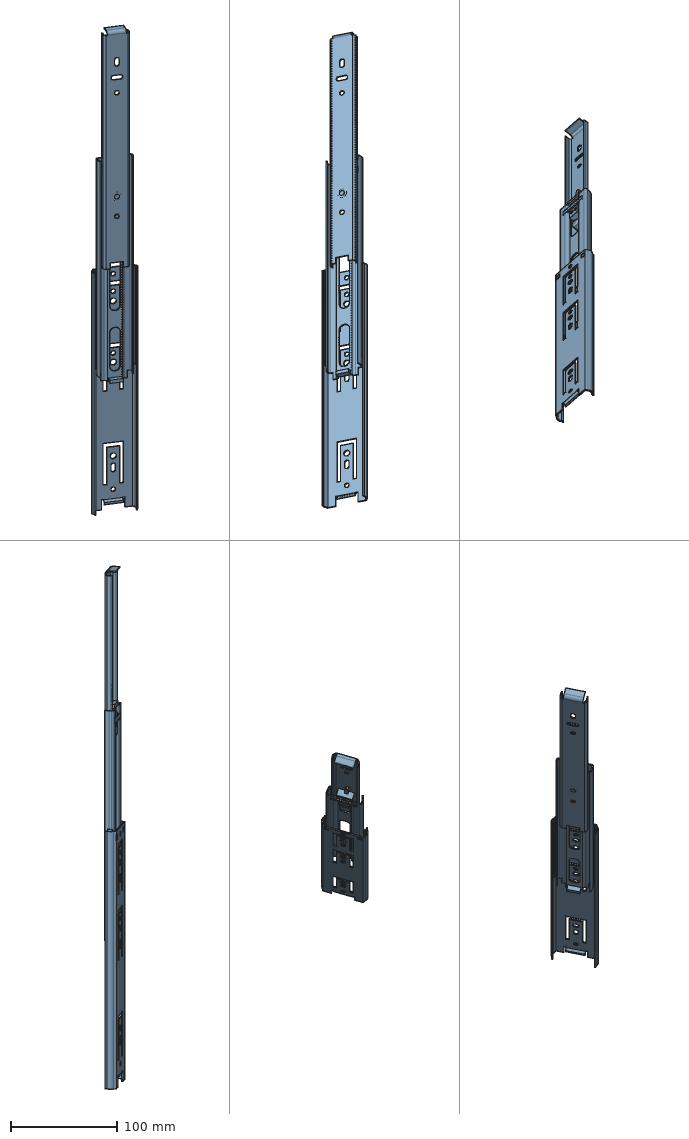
import cadquery as cq

SHEET = 1.25
HALF_SHEET = SHEET / 2

OUTER_LENGTH = 250.0
OUTER_BACK = -6.5
OUTER_HALF_WIDTH = 22.75
OUTER_LIP_X = 3.75

MIDDLE_BOTTOM, MIDDLE_TOP = 135.0, 366.0
MIDDLE_FLANGE_BOTTOM = 142.5
MIDDLE_BACK = -3.75
MIDDLE_HALF_WIDTH = 18.0
MIDDLE_FRONT = 5.5
MIDDLE_SLOT_TOP = 361.5
SHOULDER_START = 10.0
STEP_RADIUS = 3.0
SLOT_WIDTH = 10.5

INNER_BOTTOM, INNER_TOP = 254.0, 500.0
INNER_FLANGE_TOP = 496.0
INNER_FRONT = 6.5
INNER_HALF_WIDTH = 13.25
END_TAB_HALF_WIDTH = 9.5
END_TAB_BACK = -4.0
END_TAB_BEND = 3.0

SMALL_HOLE = 4.5
LARGE_HOLE = 6.0
SLOT_HOLE_LENGTH = 9.0
TONGUE_HALF_WIDTH = 6.5
WINDOW_HALF_WIDTH = 10.0
TONGUE_GAP = 4.5

LEVER_FRONT = 4.5
LEVER_BOTTOM, LEVER_TOP = 339.0, 370.0
PLATE_BACK = 1.5
PAD_BACK = -2.5
RIVET_Z = 328.0
RIVET_HEAD_RADIUS = 4.5
RIVET_SHANK_RADIUS = 2.5
RIVET_DOME = 2.0
RIVET_BACK = -1.0

CAGE_BOTTOM, CAGE_TOP = 150.0, 251.5
CAGE_INNER_Y, CAGE_OUTER_Y = 19.0, 20.0
CAGE_BACK, CAGE_FRONT = -2.5, 2.0


def box(x0, x1, y0, y1, z0, z1):
    return cq.Workplane("XY").box(x1 - x0, y1 - y0, z1 - z0, centered=False).translate((x0, y0, z0))


def sheet_strip(centre_line, length):
    """Sheet of constant thickness that follows an open centre line."""
    return centre_line.offset2D(HALF_SHEET, "intersection").extrude(length)


def mirrored_rail(half_centre_line, bottom, top):
    """Rail from the centre line of its +Y half, which starts slightly past Y = 0."""
    half = sheet_strip(half_centre_line, top - bottom).translate((0, 0, bottom))
    return half.union(half.mirror("XZ"))


def through_x(sketch):
    """Cutter that runs right through the rails along X."""
    return sketch.extrude(50, both=True)


def round_hole(z, diameter):
    return through_x(cq.Workplane("YZ").center(0, z).circle(diameter / 2))


def upright_slot(bottom, top, width):
    return through_x(cq.Workplane("YZ").center(0, (bottom + top) / 2).slot2D(top - bottom, width, 90))


def slot_hole(z):
    return upright_slot(z - SLOT_HOLE_LENGTH / 2, z + SLOT_HOLE_LENGTH / 2, SMALL_HOLE)


def crossbar():
    """Bar let into the middle rail's shoulders, flush with their -X faces."""
    half_length = 13.0
    return box(MIDDLE_BACK, PAD_BACK + 0.5, -half_length, half_length, 352.5, 357.5)


def spring_hook():
    """Slender hooked arm on top of the lever."""
    return (
        cq.Workplane("YZ", origin=(PLATE_BACK, 0, 0))
        .polyline([(1.0, LEVER_TOP), (1.0, 380.0), (-0.5, 386.5), (-2.5, 386.5), (-4.0, 383.5), (-2.5, 381.0),
                   (-2.5, LEVER_TOP)])
        .close()
        .extrude(LEVER_FRONT - PLATE_BACK)
    )


def tongue_window(bottom, top):
    """U-shaped slot that leaves a tongue attached at its lower end."""
    window = box(-25, 25, -WINDOW_HALF_WIDTH, WINDOW_HALF_WIDTH, bottom, top)
    tongue = box(-25, 25, -TONGUE_HALF_WIDTH, TONGUE_HALF_WIDTH, bottom, top - TONGUE_GAP)
    return window.cut(tongue)


def outer_section():
    web_x = OUTER_BACK + HALF_SHEET
    crown_y = OUTER_HALF_WIDTH - HALF_SHEET
    race_y = crown_y - 1.25
    return (
        cq.Workplane("XY")
        .moveTo(web_x, -2.5)
        .lineTo(web_x, 19.5)
        .lineTo(-3.5, race_y)
        .threePointArc((-0.5, crown_y), (2.0, race_y))
        .lineTo(OUTER_LIP_X, race_y - 0.25)
    )


def bottom_lip():
    """Joggled lip in the notch at the lower end of the outer rail."""
    web_x = OUTER_BACK + HALF_SHEET
    lip = (
        cq.Workplane("XZ")
        .moveTo(web_x, 12.0)
        .lineTo(web_x, 10.0)
        .lineTo(-3.5, 8.25)
        .lineTo(-3.5, 6.5)
    )
    half_width = 9.5
    return sheet_strip(lip, 2 * half_width).translate((0, half_width, 0))


def make_outer_rail():
    rail = mirrored_rail(outer_section(), 0, OUTER_LENGTH)
    for bottom, top in ((186.5, 235.5), (122.5, 171.0), (25.5, 68.5)):
        rail = rail.cut(tongue_window(bottom, top))
    for z in (243.0, 225.0, 161.0, 20.0):
        rail = rail.cut(round_hole(z, SMALL_HOLE))
    for z in (215.0, 151.5, 54.5):
        rail = rail.cut(round_hole(z, LARGE_HOLE))
    for z in (200.0, 136.0, 42.5):
        rail = rail.cut(slot_hole(z))
    stamp_depth = 0.5
    for inner_y in (-19.5, 14.5):
        rail = rail.cut(box(OUTER_BACK, OUTER_BACK + stamp_depth, inner_y, inner_y + 5.0, 241.0, 246.0))
    notch_half_width = 11.5
    rail = rail.cut(box(-25, 25, -notch_half_width, notch_half_width, 0, 10.5))
    return rail.union(bottom_lip())


def middle_section():
    shoulder_x = MIDDLE_BACK + HALF_SHEET
    web_x = shoulder_x + STEP_RADIUS
    flange_y = MIDDLE_HALF_WIDTH - HALF_SHEET
    corner = 1.75
    diagonal = 0.5 ** 0.5
    return (
        cq.Workplane("XY")
        .moveTo(web_x, -2.5)
        .lineTo(web_x, SHOULDER_START - STEP_RADIUS)
        .threePointArc(
            (web_x - STEP_RADIUS * diagonal, SHOULDER_START - STEP_RADIUS * diagonal),
            (shoulder_x, SHOULDER_START),
        )
        .lineTo(shoulder_x, flange_y - corner)
        .threePointArc(
            (shoulder_x + corner * (1 - diagonal), flange_y - corner * (1 - diagonal)),
            (shoulder_x + corner, flange_y),
        )
        .lineTo(0.75, flange_y - 0.25)
        .threePointArc((3.0, flange_y - 0.5), (MIDDLE_FRONT - HALF_SHEET, flange_y - 1.25))
    )


def make_middle_rail():
    rail = mirrored_rail(middle_section(), MIDDLE_BOTTOM, MIDDLE_TOP)
    for side in (-25.0, 13.0):
        rail = rail.cut(box(-25, 25, side, side + 12.0, MIDDLE_BOTTOM, MIDDLE_FLANGE_BOTTOM))
    for bottom, top in ((306.0, MIDDLE_SLOT_TOP), (207.5, 271.5), (145.0, 190.0)):
        rail = rail.cut(upright_slot(bottom, top, SLOT_WIDTH))
    rail = rail.cut(crossbar())
    stop_half_width = 6.5
    stop_height = 3.5
    end_stop = box(
        MIDDLE_BACK + STEP_RADIUS, MIDDLE_FRONT, -stop_half_width, stop_half_width,
        MIDDLE_BOTTOM, MIDDLE_BOTTOM + stop_height,
    )
    return rail.union(end_stop)


def inner_section():
    web_x = INNER_FRONT - HALF_SHEET
    flange_y = INNER_HALF_WIDTH - HALF_SHEET
    return (
        cq.Workplane("XY")
        .moveTo(web_x, -2.5)
        .lineTo(web_x, flange_y - 2.0)
        .lineTo(3.75, flange_y)
        .lineTo(0.75, flange_y)
        .lineTo(-0.5, flange_y - 0.25)
    )


def end_tab():
    """Tab bent from the web towards -X, which closes the upper end of the inner rail."""
    web_x = INNER_FRONT - HALF_SHEET
    tab_z = INNER_TOP - HALF_SHEET
    bend_inset = END_TAB_BEND * (1 - 0.5 ** 0.5)
    path = (
        cq.Workplane("XZ")
        .moveTo(web_x, INNER_FLANGE_TOP - 2.5)
        .lineTo(web_x, tab_z - END_TAB_BEND)
        .threePointArc((web_x - bend_inset, tab_z - bend_inset), (web_x - END_TAB_BEND, tab_z))
        .lineTo(END_TAB_BACK + HALF_SHEET, tab_z)
    )
    return sheet_strip(path, 2 * END_TAB_HALF_WIDTH).translate((0, END_TAB_HALF_WIDTH, 0))


def make_inner_rail():
    rail = mirrored_rail(inner_section(), INNER_BOTTOM, INNER_FLANGE_TOP).union(end_tab())
    rail = rail.cut(slot_hole(467.5))
    rail = rail.cut(through_x(cq.Workplane("YZ").center(0, 451.5).slot2D(11.5, SMALL_HOLE)))
    rail = rail.cut(round_hole(435.5, SMALL_HOLE))
    rail = rail.cut(round_hole(RIVET_Z, 2 * RIVET_SHANK_RADIUS))
    rail = rail.cut(round_hole(307.5, SMALL_HOLE))
    return rail.cut(box(-25, 25, -6.5, 6.5, INNER_BOTTOM, 260.0))


def make_latch_lever():
    body = box(PLATE_BACK, LEVER_FRONT, -4.5, 4.5, LEVER_BOTTOM, LEVER_TOP)
    pad = upright_slot(300.0, MIDDLE_SLOT_TOP, SLOT_WIDTH).intersect(
        box(PAD_BACK, PLATE_BACK, -SLOT_WIDTH, SLOT_WIDTH, LEVER_BOTTOM, MIDDLE_TOP)
    )
    crown = box(-2.5, LEVER_FRONT, -8.0, 8.0, MIDDLE_TOP, LEVER_TOP)
    lever = body.union(pad).union(crown).union(crossbar())
    for y in (-4.0, 1.0):
        lever = lever.cut(box(PAD_BACK, PAD_BACK + 1.0, y, y + 3.0, 346.5, 349.0))
    return lever.union(spring_hook())


def make_rivet():
    web_back = INNER_FRONT - SHEET
    head = (
        cq.Workplane("YZ", origin=(RIVET_BACK, 0, RIVET_Z))
        .circle(RIVET_HEAD_RADIUS)
        .extrude(web_back - RIVET_BACK)
        .faces("<X")
        .fillet(RIVET_DOME)
    )
    shank = cq.Workplane("YZ", origin=(web_back, 0, RIVET_Z)).circle(RIVET_SHANK_RADIUS).extrude(SHEET)
    return head.union(shank)


def make_ball_cage(inner_y):
    return box(CAGE_BACK, CAGE_FRONT, inner_y, inner_y + CAGE_OUTER_Y - CAGE_INNER_Y, CAGE_BOTTOM, CAGE_TOP)


outer_rail = make_outer_rail()
middle_rail = make_middle_rail()
inner_rail = make_inner_rail()
latch_lever = make_latch_lever()
rivet = make_rivet()
ball_cages = [make_ball_cage(y) for y in (CAGE_INNER_Y, -CAGE_OUTER_Y)]

result = cq.Compound.makeCompound(
    [outer_rail.val(), middle_rail.val(), inner_rail.val(), latch_lever.val(), rivet.val()]
    + [cage.val() for cage in ball_cages]
)